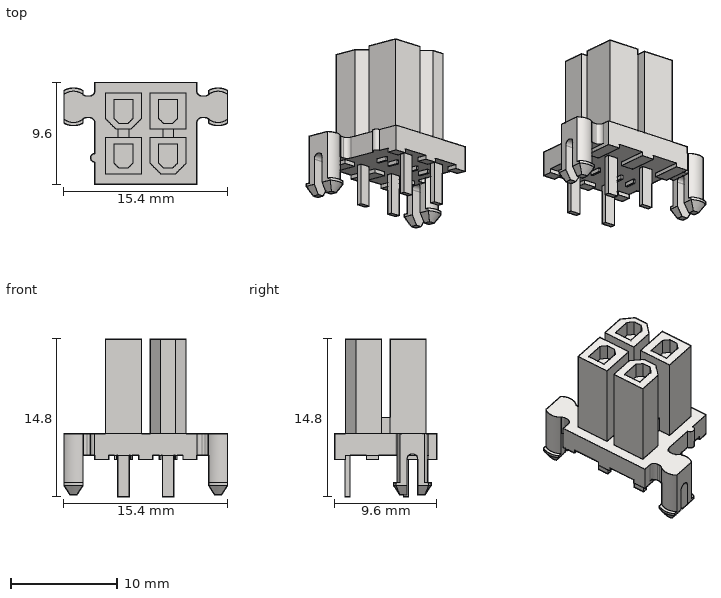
import cadquery as cq
import math


BASE_SIZE = 9.6
BASE_THICKNESS = 2.05
HALF_BASE = BASE_SIZE / 2

PITCH = 4.2
TOWER_SIZE = 3.4
TOWER_HEIGHT = 8.9
TOWER_CHAMFER = 1.0
CAVITY_WIDTH = 1.8
CAVITY_LENGTH = 2.27
CAVITY_OFFSET = -0.03
CAVITY_CHAMFER = 0.48
CAVITY_DEPTH = 1.6
RIB_WIDTH = 1.0
RIB_HEIGHT = 1.53

PIN_WIDTH = 1.1
PIN_THICKNESS = 0.5
PIN_DEPTH = 5.93
PIN_ROW_SPACING = 5.5
FRONT_PIN_Y = -3.6

FOOT_DEPTH = 2.43
CORNER_FOOT_WIDTH = 1.32
MIDDLE_FOOT_WIDTH = 1.35
FRONT_FOOT_LENGTH = 1.02
TAB_WIDTH = 0.2
TAB_LENGTH = 1.15
TAB_SPACING = 1.5
TAB_Y = -1.25

PEG_X = 6.8
PEG_Y = 2.5
PEG_RADIUS = 1.47
PEG_WIDTH = 1.8
NECK_WIDTH = 2.04
NECK_FILLET = 0.5
BARB_RADIUS = 1.78
BARB_TOP = 4.6
BARB_EDGE = 4.86
PEG_DEPTH = 5.75
TIP_INSET = 0.57
SLOT_WIDTH = 1.0
SLOT_TOP = 1.9

KEY_RADIUS = 0.4
KEY_Y = -2.3


def block(x_min, x_max, y_min, y_max, z_min, z_max):
    """Rectangular block between two opposite corners."""
    size = (x_max - x_min, y_max - y_min, z_max - z_min)
    return cq.Workplane("XY").box(*size, centered=False).translate((x_min, y_min, z_min))


def centered_block(x, y, width, length, z_min, z_max):
    """Rectangular block centred on (x, y)."""
    return block(x - width / 2, x + width / 2, y - length / 2, y + length / 2, z_min, z_max)


def keyed_prism(x, y, width, length, chamfer, z_min, z_max):
    """Rectangular prism with its two -Y vertical edges chamfered when chamfer is above zero."""
    prism = centered_block(x, y, width, length, z_min, z_max)
    if chamfer > 0:
        prism = prism.faces("<Y").edges("|Z").chamfer(chamfer)
    return prism


def make_base():
    """Square base plate with the half-round key on one side."""
    plate = centered_block(0, 0, BASE_SIZE, BASE_SIZE, -BASE_THICKNESS, 0)
    key = cq.Workplane("XY").center(-HALF_BASE, KEY_Y).circle(KEY_RADIUS).extrude(-BASE_THICKNESS)
    return plate.union(key)


def make_tower(column, row):
    """Hollow tower; the towers on one diagonal have chamfered corners."""
    x = column * PITCH / 2
    y = row * PITCH / 2
    chamfer = TOWER_CHAMFER if column != row else 0
    tower = keyed_prism(x, y, TOWER_SIZE, TOWER_SIZE, chamfer, 0, TOWER_HEIGHT)
    cavity = keyed_prism(x, y + CAVITY_OFFSET, CAVITY_WIDTH, CAVITY_LENGTH, CAVITY_CHAMFER,
                         TOWER_HEIGHT - CAVITY_DEPTH, TOWER_HEIGHT)
    return tower.cut(cavity)


def make_underside():
    """Feet at the front and back edges, reaching in by the pin rows, and tabs between the rows."""
    back_foot_start = -HALF_BASE + FRONT_FOOT_LENGTH + PIN_ROW_SPACING
    foot_y_ranges = (
        (-HALF_BASE, -HALF_BASE + FRONT_FOOT_LENGTH),
        (back_foot_start, HALF_BASE),
    )
    foot_x_ranges = (
        (-HALF_BASE, -HALF_BASE + CORNER_FOOT_WIDTH),
        (-MIDDLE_FOOT_WIDTH / 2, MIDDLE_FOOT_WIDTH / 2),
        (HALF_BASE - CORNER_FOOT_WIDTH, HALF_BASE),
    )
    underside = cq.Workplane("XY")
    for y_min, y_max in foot_y_ranges:
        for x_min, x_max in foot_x_ranges:
            underside = underside.union(block(x_min, x_max, y_min, y_max, -FOOT_DEPTH, -BASE_THICKNESS))
    for column in (-1, 1):
        for side in (-1, 1):
            x = column * PITCH / 2 + side * TAB_SPACING / 2
            tab = centered_block(x, TAB_Y, TAB_WIDTH, TAB_LENGTH, -FOOT_DEPTH, -BASE_THICKNESS)
            underside = underside.union(tab)
    return underside


def peg_outline(radius, z):
    """Circle cut by two flats that face along X, centred on the peg axis."""
    half_width = PEG_WIDTH / 2
    half_chord = math.sqrt(radius**2 - half_width**2)
    return (
        cq.Workplane("XY", origin=(PEG_X, PEG_Y, z))
        .moveTo(-half_width, -half_chord)
        .threePointArc((0, -radius), (half_width, -half_chord))
        .lineTo(half_width, half_chord)
        .threePointArc((0, radius), (-half_width, half_chord))
        .close()
    )


def make_neck():
    """Arm from the base to the +X peg, blended tangentially into the base side and the peg."""
    half_neck = NECK_WIDTH / 2
    blend_y = half_neck + NECK_FILLET
    center_distance = PEG_RADIUS + NECK_FILLET
    blend_reach = math.sqrt(center_distance**2 - blend_y**2)
    blend_x = PEG_X - blend_reach
    tangent_x = PEG_X - blend_reach * PEG_RADIUS / center_distance
    tangent_y = blend_y * PEG_RADIUS / center_distance
    root_x = HALF_BASE + NECK_FILLET
    diagonal = NECK_FILLET * math.sqrt(0.5)
    half_angle = math.atan2(blend_reach, blend_y) / 2
    mid_x = blend_x + NECK_FILLET * math.sin(half_angle)
    mid_y = blend_y - NECK_FILLET * math.cos(half_angle)
    return (
        cq.Workplane("XY", origin=(0, PEG_Y, 0))
        .moveTo(HALF_BASE, blend_y)
        .threePointArc((root_x - diagonal, blend_y - diagonal), (root_x, half_neck))
        .lineTo(blend_x, half_neck)
        .threePointArc((mid_x, mid_y), (tangent_x, tangent_y))
        .lineTo(PEG_X, tangent_y)
        .lineTo(PEG_X, -tangent_y)
        .lineTo(tangent_x, -tangent_y)
        .threePointArc((mid_x, -mid_y), (blend_x, -half_neck))
        .lineTo(root_x, -half_neck)
        .threePointArc((root_x - diagonal, -blend_y + diagonal), (HALF_BASE, -blend_y))
        .close()
        .extrude(-BASE_THICKNESS)
    )


def make_peg():
    """Split snap peg on the +X side with a barbed, tapered tip, joined to its neck."""
    tip_height = PEG_DEPTH - BARB_EDGE
    tip_taper = math.degrees(math.atan2(TIP_INSET, tip_height))
    shank = peg_outline(PEG_RADIUS, 0).extrude(-BARB_TOP)
    barb = peg_outline(BARB_RADIUS, -BARB_TOP).extrude(BARB_TOP - BARB_EDGE)
    tip = peg_outline(BARB_RADIUS, -BARB_EDGE).extrude(-tip_height, taper=tip_taper)

    slot_radius = SLOT_WIDTH / 2
    arch_z = -SLOT_TOP - slot_radius
    slot = centered_block(PEG_X, PEG_Y, PEG_WIDTH, SLOT_WIDTH, -PEG_DEPTH, arch_z)
    arch = (
        cq.Workplane("YZ", origin=(PEG_X - PEG_WIDTH / 2, PEG_Y, arch_z))
        .circle(slot_radius)
        .extrude(PEG_WIDTH)
    )
    return shank.union(barb).union(tip).union(make_neck()).cut(slot).cut(arch)


result = make_base().union(make_underside())

for column in (-1, 1):
    for row in (-1, 1):
        result = result.union(make_tower(column, row))

    column_x = column * PITCH / 2
    result = result.union(centered_block(column_x, 0, RIB_WIDTH, PITCH - TOWER_SIZE, 0, RIB_HEIGHT))

    for pin_y in (FRONT_PIN_Y, FRONT_PIN_Y + PIN_ROW_SPACING):
        pin = centered_block(column_x, pin_y, PIN_WIDTH, PIN_THICKNESS, -PIN_DEPTH, -BASE_THICKNESS)
        result = result.union(pin)

right_peg = make_peg()
result = result.union(right_peg).union(right_peg.mirror("YZ"))